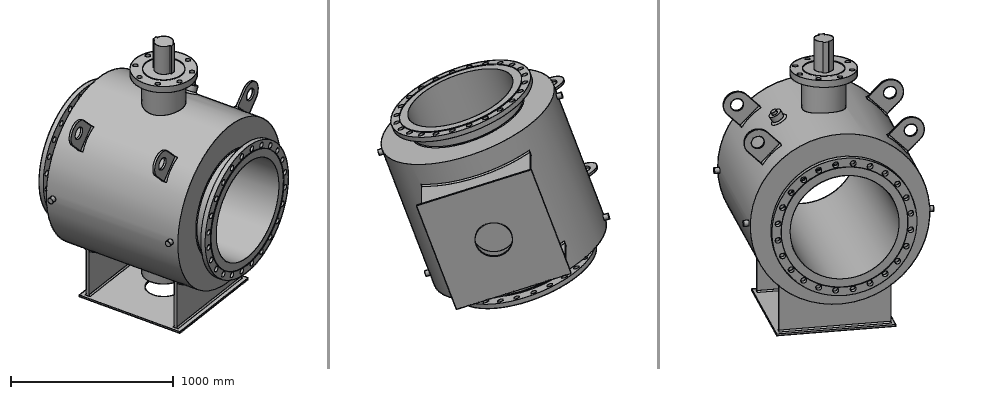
import cadquery as cq
import math


total_length = 1245.0
body_diameter = 1127.0
body_length = 976.0
bore_diameter = 684.0
pipe_diameter = 725.0
pipe_weld = 5.0
flange_diameter = 910.0
flange_thickness = 32.0
raised_face_diameter = 795.0
raised_face_height = 5.0
flange_bolt_count = 24
flange_bolt_circle = 840.0
flange_bolt_diameter = 35.0

neck_diameter = 270.0
neck_weld = 15.0
stub_bottom = -675.0
top_flange_diameter = 415.0
top_flange_face = 807.0
top_flange_thickness = 45.0
top_recess_diameter = 260.0
top_recess_depth = 5.0
top_bolt_count = 8
top_bolt_circle = 355.0
top_bolt_diameter = 32.0
shaft_diameter = 120.0
shaft_top = 1005.0
key_span = 138.0
key_width = 35.0

total_height = 1794.0
base_side = 746.0
base_thickness = 13.0
base_hole_diameter = 230.0
leg_offset = 327.0
leg_width = 703.0
leg_thickness = 20.0
leg_top_weld = 9.0
leg_foot_weld = 9.0

lug_offset = 310.0
lug_angle = 45.0
lug_eye_distance = 678.0
lug_width = 170.0
lug_thickness = 15.0
lug_eye_diameter = 80.0
lug_weld = 13.0

pin_diameter = 38.0
pin_span = 1191.0
pin_offset = 436.0
vent_angle = 30.0
vent_diameter = 80.0
vent_top = 614.0
vent_weld = 10.0
vent_tip_diameter = 38.0
vent_tip_top = 631.0

body_radius = body_diameter / 2
base_bottom = shaft_top - total_height
base_top = base_bottom + base_thickness
leg_height = -base_top - math.sqrt(body_radius**2 - (leg_width / 2) ** 2)


def disc_x(diameter, x_start, length):
    """Round bar along X."""
    return cq.Workplane("YZ", origin=(x_start, 0, 0)).circle(diameter / 2).extrude(length)


def disc_z(diameter, z_start, length):
    """Round bar along Z."""
    return cq.Workplane("XY", origin=(0, 0, z_start)).circle(diameter / 2).extrude(length)


def tilt(shape, angle):
    """Turn a shape built along +Z about the X axis, towards +Y for a positive angle."""
    return shape.rotate((0, 0, 0), (1, 0, 0), -angle)


def end_connection():
    """Pipe stub with its flange on the +X end, solid inside."""
    end = total_length / 2
    face = end - raised_face_height
    back = face - flange_thickness
    body_end = body_length / 2
    radius = pipe_diameter / 2
    profile = [
        (0, 0),
        (0, radius + pipe_weld),
        (body_end, radius + pipe_weld),
        (body_end + pipe_weld, radius),
        (back - pipe_weld, radius),
        (back, radius + pipe_weld),
        (back, flange_diameter / 2),
        (face, flange_diameter / 2),
        (face, raised_face_diameter / 2),
        (end, raised_face_diameter / 2),
        (end, 0),
    ]
    turned = cq.Workplane("XY").polyline(profile).close().revolve(360, (0, 0, 0), (1, 0, 0))
    half_pitch = 180 / flange_bolt_count
    bolts = (
        cq.Workplane("YZ", origin=(back, 0, 0))
        .polarArray(flange_bolt_circle / 2, half_pitch, 360, flange_bolt_count)
        .circle(flange_bolt_diameter / 2)
        .extrude(end - back)
    )
    return turned.cut(bolts)


def stem():
    """Neck, bottom stub, actuator flange and keyed shaft along Z."""
    flange_bottom = top_flange_face - top_flange_thickness
    radius = neck_diameter / 2
    neck = disc_z(neck_diameter, stub_bottom, flange_bottom - stub_bottom)
    weld = cq.Workplane(
        cq.Solid.makeCone(radius, radius + neck_weld, neck_weld, cq.Vector(0, 0, flange_bottom - neck_weld))
    )
    recess_floor = top_flange_face - top_recess_depth
    half_pitch = 180 / top_bolt_count
    bolts = (
        cq.Workplane("XY", origin=(0, 0, flange_bottom))
        .polarArray(top_bolt_circle / 2, half_pitch, 360, top_bolt_count)
        .circle(top_bolt_diameter / 2)
        .extrude(top_flange_thickness)
    )
    flange = (
        disc_z(top_flange_diameter, flange_bottom, top_flange_thickness)
        .cut(disc_z(top_recess_diameter, recess_floor, top_recess_depth))
        .cut(bolts)
    )
    shaft_length = shaft_top - recess_floor
    shaft = disc_z(shaft_diameter, recess_floor, shaft_length)
    keys = cq.Workplane("XY", origin=(0, 0, recess_floor)).rect(key_span, key_width).extrude(shaft_length)
    return neck.union(weld).union(flange).union(shaft).union(keys)


def leg(x):
    """Upright plate under the body, with fillet welds at the body and at the base plate."""
    plate = cq.Workplane("XY", origin=(x, 0, base_top)).rect(leg_thickness, leg_width).extrude(leg_height)
    foot_half = leg_thickness / 2 + leg_foot_weld
    foot = (
        cq.Workplane("XZ", origin=(x, leg_width / 2, base_top))
        .polyline([(-foot_half, 0), (foot_half, 0), (leg_thickness / 2, leg_foot_weld),
                   (-leg_thickness / 2, leg_foot_weld)])
        .close()
        .extrude(leg_width)
    )
    top_half = leg_thickness / 2 + leg_top_weld
    ring = (
        cq.Workplane("XY", origin=(x, 0, 0))
        .polyline([(-top_half, 0), (-top_half, body_radius),
                   (-leg_thickness / 2, body_radius + leg_top_weld),
                   (leg_thickness / 2, body_radius + leg_top_weld),
                   (top_half, body_radius), (top_half, 0)])
        .close()
        .revolve(360, (0, 0, 0), (1, 0, 0))
    )
    leg_space = cq.Workplane("XY", origin=(x, 0, base_top)).rect(2 * top_half, leg_width).extrude(-base_top)
    return plate.union(foot).union(ring.intersect(leg_space))


def support():
    """Base plate with a central hole, carrying the two legs."""
    base = (
        cq.Workplane("XY", origin=(0, 0, base_bottom))
        .rect(base_side, base_side)
        .circle(base_hole_diameter / 2)
        .extrude(base_thickness)
    )
    return base.union(leg(-leg_offset)).union(leg(leg_offset))


def lug():
    """Lifting lug pointing up along Z, with a fillet weld on both faces of its foot."""
    half = lug_width / 2
    foot = math.sqrt(body_radius**2 - half**2)
    plate = (
        cq.Workplane("YZ", origin=(-lug_thickness / 2, 0, 0))
        .moveTo(-half, foot)
        .lineTo(-half, lug_eye_distance)
        .threePointArc((0, lug_eye_distance + half), (half, lug_eye_distance))
        .lineTo(half, foot)
        .close()
        .moveTo(0, lug_eye_distance)
        .circle(lug_eye_diameter / 2)
        .extrude(lug_thickness)
    )
    weld_half = lug_thickness / 2 + lug_weld
    weld = (
        cq.Workplane("XZ", origin=(0, half, 0))
        .polyline([(-weld_half, foot), (-lug_thickness / 2, foot + lug_weld),
                   (lug_thickness / 2, foot + lug_weld), (weld_half, foot)])
        .close()
        .extrude(lug_width)
    )
    return plate.union(weld)


def vent():
    """Stepped round fitting pointing up along Z; its weld cone starts inside the body."""
    radius = vent_diameter / 2
    weld_height = 2 * vent_weld
    foot = body_radius - vent_weld
    barrel = disc_z(vent_diameter, foot, vent_top - foot)
    tip = disc_z(vent_tip_diameter, vent_top, vent_tip_top - vent_top)
    weld = cq.Workplane(
        cq.Solid.makeCone(radius + weld_height, radius, weld_height, cq.Vector(0, 0, foot))
    )
    return barrel.union(tip).union(weld)


def side_pins(x):
    """Bar across the body whose two ends stand out as pins."""
    return cq.Workplane("XZ", origin=(x, pin_span / 2, 0)).circle(pin_diameter / 2).extrude(pin_span)


valve = disc_x(body_diameter, -body_length / 2, body_length)
connection = end_connection()
valve = valve.union(connection).union(connection.mirror("YZ"))
valve = valve.union(stem()).union(support()).union(tilt(vent(), vent_angle))

for side in (-1, 1):
    valve = valve.union(side_pins(side * pin_offset))
    for lean in (-lug_angle, lug_angle):
        valve = valve.union(tilt(lug(), lean).translate((side * lug_offset, 0, 0)))

result = valve.cut(disc_x(bore_diameter, -total_length / 2, total_length))